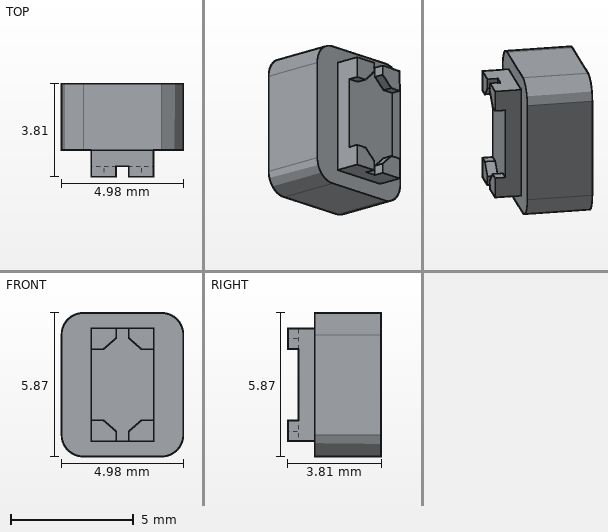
import cadquery as cq

body_width = 4.98
body_height = 5.87
corner_radius = 0.9

total_depth = 3.81
plate_depth = 0.665
foot_depth = 0.43
body_depth = total_depth - plate_depth - foot_depth

plate_width = 2.555
plate_height = 4.595

foot_gap = 0.51
foot_width = (plate_width - foot_gap) / 2
foot_height = 0.845
foot_cut_width = 0.515
foot_cut_height = 0.45

body_front = -body_depth
plate_front = body_front - plate_depth


def front_plane(y):
    """Workplane facing -Y at the given depth, with X right and Z up."""
    return cq.Workplane("XZ", origin=(0, y, 0))


def make_foot(x_side, z_side):
    """One foot in the plate corner given by the signs of X and Z."""
    outer_x = plate_width / 2
    inner_x = outer_x - foot_width
    outer_z = plate_height / 2
    inner_z = outer_z - foot_height
    outline = [
        (outer_x, outer_z),
        (inner_x, outer_z),
        (inner_x, inner_z + foot_cut_height),
        (inner_x + foot_cut_width, inner_z),
        (outer_x, inner_z),
    ]
    points = [(x_side * x, z_side * z) for x, z in outline]
    return front_plane(plate_front).polyline(points).close().extrude(foot_depth)


body = front_plane(0).rect(body_width, body_height).extrude(body_depth)
body = body.edges("|Y").fillet(corner_radius)

plate = front_plane(body_front).rect(plate_width, plate_height).extrude(plate_depth)

result = body.union(plate)
for x_side in (-1, 1):
    for z_side in (-1, 1):
        result = result.union(make_foot(x_side, z_side))